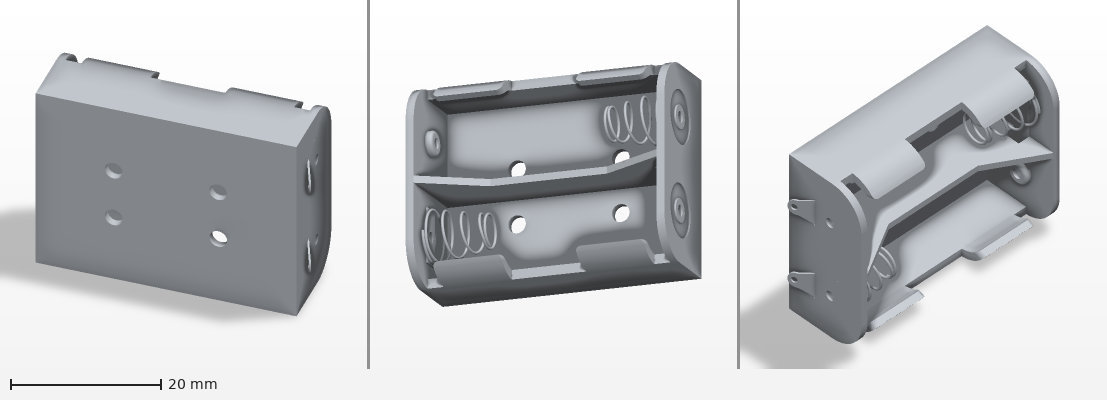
import cadquery as cq
import math


length = 36.9
height = 13.8
width = 27.6
corner_radius = 5.5
end_wall = 1.15
floor = 1.15
wall_top = 8.6
mount_hole_diameter = 2.5
mount_hole_x = 7.4
mount_hole_z = 3.8
half_length = length / 2
half_width = width / 2
inner_end = half_length - end_wall
rim_y = height - corner_radius
rim_z = half_width - corner_radius

cell_pitch = 13.0
cell_y = 7.85
cell_radius = 6.0
cell_z = cell_pitch / 2

divider_half = 0.5
gusset_angle = 30.0
notch_length = 2.0

clip_offset = 3.42
clip_length = 9.75
clip_top = 12.8
clip_inner_top = 11.75
clip_corner = 0.77

sheet = 0.27
recess_radius = 3.77
bore_radius = 0.77
barrel_radius = 1.25
flange_radius = 1.7
flange_round = 0.08
head_radius = 1.77
head_thickness = 0.25
button_length = 1.0
button_round = 0.45
strip_half = 1.4

bend_y = 4.95
tab_tilt = math.radians(23.4)
tab_length = 3.95
tab_root_half = 2.08
tab_end_radius = 1.27
tab_taper_length = 2.4
tab_hole_diameter = 1.0
tab_hole_distance = 3.0

wire_diameter = 0.4
coil_gap = 0.05
spring_outer_radius = 3.85
spring_tip_radius = 2.5
spring_length = 8.77
closed_turns = 1.1
active_turns = 3.0
points_per_turn = 10


def rod_x(x_start, x_end, radius, z):
    """Cylinder along X, centred on the cell axis at height z."""
    plane = cq.Plane(origin=(x_start, cell_y, z), xDir=(0, 1, 0), normal=(1, 0, 0))
    return cq.Workplane(plane).circle(radius).extrude(x_end - x_start)


def block(x_range, y_range, z_range):
    """Rectangular block between the given limits."""
    spans = [high - low for low, high in (x_range, y_range, z_range)]
    corner = (x_range[0], y_range[0], z_range[0])
    return cq.Workplane("XY").box(*spans, centered=False).translate(corner)


def half_turn(body):
    """Turn a body end for end about the Y axis through the middle of the holder."""
    return body.rotate((0, 0, 0), (0, 1, 0), 180)


def rounded_block():
    """Solid block with its two long open-side edges rounded."""
    solid = block((-half_length, half_length), (0, height), (-half_width, half_width))
    return solid.edges("|X and >Y").fillet(corner_radius)


def cell_trough(side):
    """Square trough for one cell, between the divider and the side wall."""
    z_limits = sorted((side * divider_half, side * clip_inner_z(wall_top)))
    return block((-inner_end, inner_end), (floor, wall_top), z_limits)


def clip_hollow():
    """Space under the clips, round about the axis of each cell and joined across the middle."""
    hollow = block((-inner_end, inner_end), (wall_top, height), (-cell_z, cell_z))
    above_wall = block((-inner_end, inner_end), (wall_top, height), (-half_width, half_width))
    for z in (-cell_z, cell_z):
        hollow = hollow.union(rod_x(-inner_end, inner_end, cell_radius, z).intersect(above_wall))
    return hollow


def gusset():
    """Sloped top of the divider against the -X end wall."""
    rise = height - wall_top
    run = rise / math.tan(math.radians(gusset_angle))
    return (
        cq.Workplane("XY", origin=(0, 0, -divider_half))
        .polyline([(-inner_end, wall_top), (-inner_end, height), (-inner_end + run, wall_top)])
        .close()
        .extrude(2 * divider_half)
    )


def clip_outer_z(y):
    """Z of the outside of the +Z clips at the given Y."""
    return rim_z + math.sqrt(corner_radius**2 - (y - rim_y) ** 2)


def clip_inner_z(y):
    """Z of the inside of the +Z clips at the given Y."""
    return cell_z + math.sqrt(cell_radius**2 - (y - cell_y) ** 2)


def mouth():
    """Opening between the clips of the two cells, flaring outwards past the clip ends."""
    inner_z = clip_inner_z(clip_inner_top)
    slope = (clip_outer_z(clip_top) - inner_z) / (clip_top - clip_inner_top)
    top_z = inner_z + slope * (height - clip_inner_top)
    half_outline = [(wall_top, cell_z), (clip_inner_top, inner_z), (height, top_z)]
    other_half = [(y, -z) for y, z in reversed(half_outline)]
    return (
        cq.Workplane("YZ", origin=(-inner_end, 0, 0))
        .polyline(half_outline + other_half)
        .close()
        .extrude(2 * inner_end)
    )


def clip_gaps():
    """Lowered stretches of the side walls: beside each end wall and between the clips."""
    clip_start = half_length - clip_offset
    clip_end = clip_start - clip_length
    gaps = cq.Workplane("XY")
    for x_range in ((-inner_end, -clip_start), (-clip_end, clip_end), (clip_start, inner_end)):
        gaps = gaps.add(block(x_range, (wall_top, height), (-half_width, half_width)))
    return gaps


def round_clip_corners(body):
    """Round the two free corners of each of the four clips."""
    clip_start = half_length - clip_offset
    edge_y = (clip_top + clip_inner_top) / 2
    edge_z = (clip_outer_z(clip_top) + clip_inner_z(clip_inner_top)) / 2
    for x in (clip_start, clip_start - clip_length):
        for side_x in (-x, x):
            for z in (-edge_z, edge_z):
                corner = cq.selectors.NearestToPointSelector((side_x, edge_y, z))
                body = body.edges(corner).fillet(clip_corner)
    return body


def lug_recess(z):
    """Round recess in the +X end, with a notch where the tab leaves it."""
    floor_x = half_length - sheet
    tab_exit_y = bend_y - sheet * math.tan(tab_tilt / 2) - sheet / math.tan(tab_tilt)
    notch = block(
        (floor_x, half_length),
        (tab_exit_y, bend_y),
        (z - tab_root_half, z + tab_root_half),
    )
    return rod_x(floor_x, half_length, recess_radius, z).union(notch)


def make_housing():
    """Moulded housing with its troughs, clips, divider and end-wall recesses."""
    body = rounded_block()
    for side in (-1, 1):
        body = body.cut(cell_trough(side))
    body = body.cut(clip_hollow()).cut(mouth())
    for gap in clip_gaps().vals():
        body = body.cut(cq.Workplane(gap))
    body = round_clip_corners(body)
    body = body.union(gusset()).union(gusset().mirror("YZ"))

    body = body.cut(
        block(
            (-inner_end, -inner_end + notch_length),
            (cell_y - strip_half, cell_y + strip_half),
            (-divider_half, divider_half),
        )
    )

    for z in (-cell_z, cell_z):
        body = body.cut(rod_x(-half_length, half_length, barrel_radius, z))
        body = body.cut(rod_x(-half_length, -half_length + sheet, recess_radius, z))
        body = body.cut(lug_recess(z))

    mounting_holes = (
        cq.Workplane("XZ")
        .rect(2 * mount_hole_x, 2 * mount_hole_z, forConstruction=True)
        .vertices()
        .circle(mount_hole_diameter / 2)
        .extrude(-floor)
    )
    return body.cut(mounting_holes)


def button(z):
    """Rounded contact button inside the -X end wall, with the barrel that passes the wall."""
    head = rod_x(-inner_end, -inner_end + button_length, head_radius, z)
    head = head.faces(">X").edges().fillet(button_round)
    return head.union(rod_x(-half_length, -inner_end, barrel_radius, z))


def spring_seat(z):
    """Flat eyelet head and cross strip inside the -X end wall, with the barrel that passes the wall."""
    head_x = -inner_end + head_thickness
    head = rod_x(-inner_end, head_x, head_radius, z)
    strip = block(
        (-inner_end, head_x),
        (cell_y - strip_half, cell_y + strip_half),
        (z - spring_outer_radius, z + spring_outer_radius),
    )
    return head.union(strip).union(rod_x(-half_length, -inner_end, barrel_radius, z))


def bore(z):
    """Through bore of an eyelet at the -X end."""
    return rod_x(-half_length, -inner_end + button_length, bore_radius, z)


def make_jumper():
    """Strip along the -X end wall joining the spring seat to the button."""
    link = block(
        (-inner_end, -inner_end + head_thickness),
        (cell_y - strip_half, cell_y + strip_half),
        (-cell_z, cell_z),
    )
    body = link.union(spring_seat(cell_z)).union(button(-cell_z))
    for z in (-cell_z, cell_z):
        flange = rod_x(-half_length, -half_length + sheet, flange_radius, z)
        body = body.union(flange).cut(bore(z))
    return body.faces("<X").edges().fillet(flange_round)


def solder_tab(z):
    """Tapered tab with a round pierced end, tilted outwards from the bend line."""
    along_x = math.sin(tab_tilt)
    along_y = -math.cos(tab_tilt)
    back_x = half_length - sheet
    end_x = half_length + tab_length * along_x
    end_y = bend_y + tab_length * along_y
    sheet_strip = (
        cq.Workplane("XY", origin=(0, 0, z - tab_root_half))
        .polyline(
            [
                (back_x, bend_y),
                (half_length, bend_y),
                (end_x, end_y),
                (end_x + sheet * along_y, end_y - sheet * along_x),
                (back_x, bend_y - sheet * math.tan(tab_tilt / 2)),
            ]
        )
        .close()
        .extrude(2 * tab_root_half)
    )
    tab_plane = cq.Plane(
        origin=(half_length, bend_y, z), xDir=(0, 0, 1), normal=(-along_y, along_x, 0)
    )
    end_centre = tab_length - tab_end_radius
    outline = (
        cq.Workplane(tab_plane)
        .moveTo(-tab_root_half, -sheet)
        .lineTo(-tab_root_half, 0)
        .lineTo(-tab_end_radius, tab_taper_length)
        .lineTo(-tab_end_radius, end_centre)
        .threePointArc((0, tab_length), (tab_end_radius, end_centre))
        .lineTo(tab_end_radius, tab_taper_length)
        .lineTo(tab_root_half, 0)
        .lineTo(tab_root_half, -sheet)
        .close()
        .extrude(sheet, both=True)
    )
    hole = (
        cq.Workplane(tab_plane)
        .center(0, tab_hole_distance)
        .circle(tab_hole_diameter / 2)
        .extrude(sheet, both=True)
    )
    return sheet_strip.intersect(outline).cut(hole)


def make_lug(inner_contact, z):
    """Solder lug at the +X end: recessed disc, tab and the eyelet with its inner contact."""
    floor_x = half_length - sheet
    below_bend = block(
        (floor_x, half_length),
        (cell_y - recess_radius, bend_y),
        (z - recess_radius, z + recess_radius),
    )
    disc = rod_x(floor_x, half_length, recess_radius, z).cut(below_bend)
    eyelet = half_turn(inner_contact(-z))
    return disc.union(solder_tab(z)).union(eyelet).cut(half_turn(bore(-z)))


def spring_point(turn):
    """Point on the wire centreline after some turns; closed coils lie at both ends of the open ones."""
    base_radius = (2 * spring_outer_radius - wire_diameter) / 2
    tip_radius = (2 * spring_tip_radius - wire_diameter) / 2
    closed_pitch = wire_diameter + coil_gap
    active_pitch = (spring_length - wire_diameter - 2 * closed_turns * closed_pitch) / active_turns
    active = min(max(turn - closed_turns, 0), active_turns)
    rise = (turn - active) * closed_pitch + active * active_pitch
    radius = base_radius + (tip_radius - base_radius) * active / active_turns
    angle = 2 * math.pi * turn
    seat_x = -inner_end + head_thickness + wire_diameter / 2
    return cq.Vector(
        seat_x + rise,
        cell_y + radius * math.cos(angle),
        cell_z + radius * math.sin(angle),
    )


def make_spring():
    """Conical spring on the seat of the +Z cell."""
    steps = round((2 * closed_turns + active_turns) * points_per_turn)
    points = [spring_point(step / points_per_turn) for step in range(steps + 1)]
    centreline = cq.Edge.makeSpline(points)
    start = cq.Plane(origin=points[0], normal=centreline.tangentAt(0))
    path = cq.Workplane("XY").add(cq.Wire.assembleEdges([centreline]))
    return cq.Workplane(start).circle(wire_diameter / 2).sweep(path, isFrenet=True)


housing = make_housing()
jumper = make_jumper()
button_lug = make_lug(button, cell_z)
spring_lug = make_lug(spring_seat, -cell_z)
spring = make_spring()
springs = [spring, half_turn(spring)]

result = cq.Compound.makeCompound(
    [
        housing.val(),
        jumper.val(),
        button_lug.val(),
        spring_lug.val(),
        *[each.val() for each in springs],
    ]
)